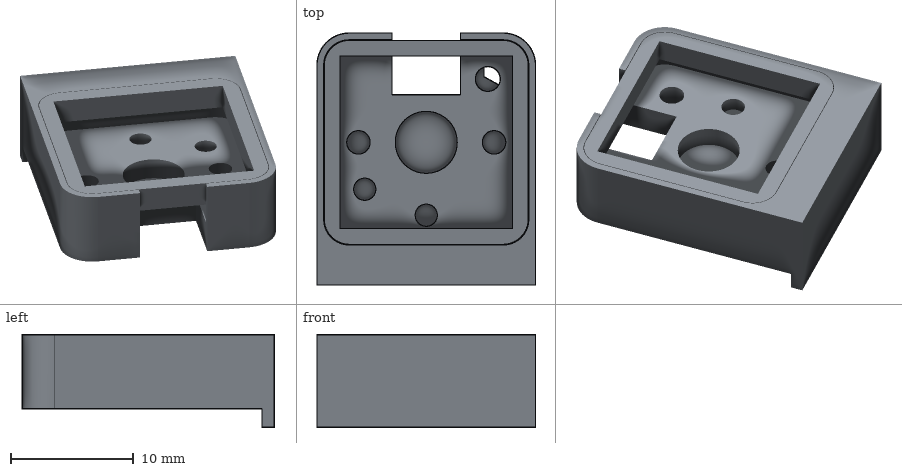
import cadquery as cq
import math

width = 17.8
length = 20.5
total_height = 7.55
lip_height = 1.5
lip_thickness = 1.0
top_z = total_height

recess_size = 16.69
wall = (width - recess_size) / 2
recess_radius = 2.1
outer_radius = recess_radius + wall
recess_depth = 3.65
floor_z = top_z - recess_depth
switch_y = length - wall - recess_size / 2

frame_gap = 0.051
frame_size = recess_size - 2 * frame_gap
frame_radius = recess_radius - frame_gap
frame_thickness = 2.0
window_size = 14.0

notch_width = 5.55
notch_length = 5.02

centre_hole_depth = 1.76
small_hole_depth = 1.19
centre_hole_diameter = 5.05
side_hole_x = 5.51
side_hole_diameter = 1.9
pin_hole_diameter = 1.8
front_pin_y = -5.92
left_pin_x = -5.0
left_pin_y = -3.81
corner_hole_x = 5.0
corner_hole_y = 5.15
corner_hole_diameter = 2.0
floor_holes = [
    (0, 0, centre_hole_diameter, centre_hole_depth),
    (-side_hole_x, 0, side_hole_diameter, small_hole_depth),
    (side_hole_x, 0, side_hole_diameter, small_hole_depth),
    (0, front_pin_y, pin_hole_diameter, small_hole_depth),
    (left_pin_x, left_pin_y, pin_hole_diameter, small_hole_depth),
    (corner_hole_x, corner_hole_y, corner_hole_diameter, small_hole_depth),
]

opening_corner_x = 4.72
opening_corner_y = 5.33
opening_slope = math.radians(-29)


def rounded_square(size, radius, height, bottom_z):
    """Square prism about the switch axis with rounded vertical edges."""
    return (
        cq.Workplane("XY", origin=(0, switch_y, bottom_z))
        .rect(size, size)
        .extrude(height)
        .edges("|Z")
        .fillet(radius)
    )


def floor_cylinder(x, y, diameter, depth):
    """Cylinder going down from the recess floor."""
    return (
        cq.Workplane("XY", origin=(x, switch_y + y, floor_z))
        .circle(diameter / 2)
        .extrude(-depth)
    )


def make_block():
    """Block with rounded back corners and a lip below its front edge."""
    block = (
        cq.Workplane("XY", origin=(0, 0, lip_height))
        .rect(width, length)
        .extrude(total_height - lip_height)
        .translate((0, length / 2, 0))
        .edges("|Z and >Y")
        .fillet(outer_radius)
    )
    lip = cq.Workplane("XY").box(width, lip_thickness, lip_height, centered=(True, False, False))
    return block.union(lip)


def make_notch():
    """Box that opens the back wall and the back of the floor."""
    return (
        cq.Workplane("XY", origin=(0, length - notch_length, 0))
        .box(notch_width, notch_length, total_height, centered=(True, False, False))
    )


def make_corner_opening():
    """Part of the corner hole that goes on through the floor."""
    reach = 2 * corner_hole_diameter
    slope_end = (reach * math.cos(opening_slope), reach * math.sin(opening_slope))
    sector = (
        cq.Workplane("XY", origin=(opening_corner_x, switch_y + opening_corner_y, 0))
        .polyline([(0, 0), slope_end, (reach, reach), (0, reach)])
        .close()
        .extrude(floor_z)
    )
    through_hole = floor_cylinder(corner_hole_x, corner_hole_y, corner_hole_diameter, floor_z)
    return through_hole.intersect(sector)


def make_housing():
    housing = make_block()
    housing = housing.cut(rounded_square(recess_size, recess_radius, recess_depth, floor_z))
    housing = housing.cut(make_notch())
    for x, y, diameter, depth in floor_holes:
        housing = housing.cut(floor_cylinder(x, y, diameter, depth))
    return housing.cut(make_corner_opening())


def make_frame():
    bottom_z = top_z - frame_thickness
    frame = rounded_square(frame_size, frame_radius, frame_thickness, bottom_z)
    window = (
        cq.Workplane("XY", origin=(0, switch_y, bottom_z))
        .rect(window_size, window_size)
        .extrude(frame_thickness)
    )
    return frame.cut(window)


housing = make_housing()
frame = make_frame()

result = cq.Compound.makeCompound([housing.val(), frame.val()])